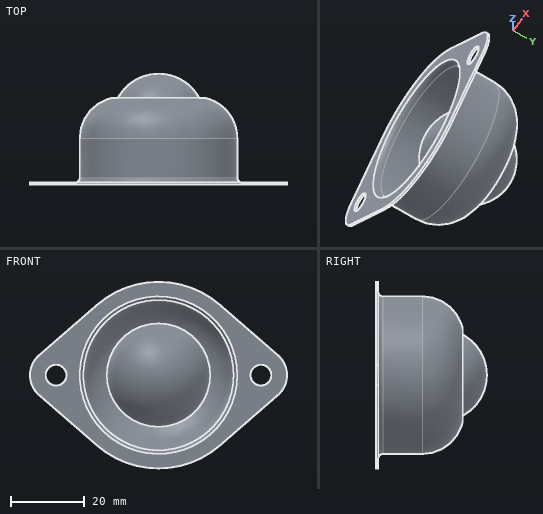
import cadquery as cq
import math


LENGTH = 69.85
FLANGE_WIDTH = 50.7
HEIGHT = 30.2

FLANGE_THICKNESS = 0.6
HOLE_OFFSET = 27.8
HOLE_DIAMETER = 5.6

WALL_RADIUS = 21.45
WALL_THICKNESS = 1.05
WALL_TOP = 12.6
DOME_RADIUS = 11.3
RIM_HEIGHT = 23.6
BEND_RADIUS = 1.25

BALL_RADIUS = 12.6
SOCKET_RADIUS = 14.05

LOBE_RADIUS = LENGTH / 2 - HOLE_OFFSET
FLANGE_RADIUS = FLANGE_WIDTH / 2
BORE_RADIUS = WALL_RADIUS - WALL_THICKNESS
BALL_CENTER = HEIGHT - BALL_RADIUS
DOME_CENTER_RADIUS = WALL_RADIUS - DOME_RADIUS
BEND_CENTER_RADIUS = WALL_RADIUS + BEND_RADIUS
BEND_CENTER_HEIGHT = FLANGE_THICKNESS + BEND_RADIUS
DIAGONAL = math.sqrt(0.5)


def make_sphere(radius):
    """Sphere around the ball's center."""
    return cq.Workplane("XZ", origin=(0, BALL_CENTER, 0)).sphere(radius)


def make_flange():
    """Plate outlined by a central circle, two end lobes and their common tangents."""
    tangent_cos = (FLANGE_RADIUS - LOBE_RADIUS) / HOLE_OFFSET
    tangent_sin = math.sqrt(1 - tangent_cos**2)
    middle_x = FLANGE_RADIUS * tangent_cos
    middle_z = FLANGE_RADIUS * tangent_sin
    lobe_x = HOLE_OFFSET + LOBE_RADIUS * tangent_cos
    lobe_z = LOBE_RADIUS * tangent_sin
    return (
        cq.Workplane("XZ")
        .moveTo(-middle_x, middle_z)
        .threePointArc((0, FLANGE_RADIUS), (middle_x, middle_z))
        .lineTo(lobe_x, lobe_z)
        .threePointArc((LENGTH / 2, 0), (lobe_x, -lobe_z))
        .lineTo(middle_x, -middle_z)
        .threePointArc((0, -FLANGE_RADIUS), (-middle_x, -middle_z))
        .lineTo(-lobe_x, -lobe_z)
        .threePointArc((-LENGTH / 2, 0), (-lobe_x, lobe_z))
        .close()
        .pushPoints([(-HOLE_OFFSET, 0), (HOLE_OFFSET, 0)])
        .circle(HOLE_DIAMETER / 2)
        .extrude(-FLANGE_THICKNESS)
    )


def make_domed_body(wall_radius, dome_radius):
    """Solid cylinder rounded over to a dome, which a flat top closes."""
    dome_top = WALL_TOP + dome_radius
    return (
        cq.Workplane("XY")
        .lineTo(wall_radius, 0)
        .lineTo(wall_radius, WALL_TOP)
        .threePointArc(
            (DOME_CENTER_RADIUS + dome_radius * DIAGONAL, WALL_TOP + dome_radius * DIAGONAL),
            (DOME_CENTER_RADIUS, dome_top),
        )
        .lineTo(0, dome_top)
        .close()
        .revolve(360, (0, 0, 0), (0, 1, 0))
    )


def make_flare(bend_radius, depth):
    """Disc with a concave edge that is a quarter arc, or less, around the bend's center.

    The disc reaches from the bend's center height down by the given depth.
    """
    top_radius = BEND_CENTER_RADIUS - bend_radius
    base = BEND_CENTER_HEIGHT - depth
    base_radius = BEND_CENTER_RADIUS - math.sqrt(bend_radius**2 - depth**2)
    middle_angle = math.asin(depth / bend_radius) / 2
    middle = (
        BEND_CENTER_RADIUS - bend_radius * math.cos(middle_angle),
        BEND_CENTER_HEIGHT - bend_radius * math.sin(middle_angle),
    )
    return (
        cq.Workplane("XY")
        .moveTo(0, base)
        .lineTo(0, BEND_CENTER_HEIGHT)
        .lineTo(top_radius, BEND_CENTER_HEIGHT)
        .threePointArc(middle, (base_radius, base))
        .close()
        .revolve(360, (0, 0, 0), (0, 1, 0))
    )


def make_housing():
    """Flange and hollow dome in one piece, with the ball socket hanging inside."""
    outside = (
        make_flange()
        .union(make_domed_body(WALL_RADIUS, DOME_RADIUS))
        .union(make_flare(BEND_RADIUS, BEND_RADIUS))
    )
    cavity = (
        make_domed_body(BORE_RADIUS, DOME_RADIUS - WALL_THICKNESS)
        .union(make_flare(BEND_RADIUS + WALL_THICKNESS, BEND_CENTER_HEIGHT))
        .cut(make_sphere(SOCKET_RADIUS))
    )
    above_rim = cq.Workplane("XZ", origin=(0, RIM_HEIGHT, 0)).circle(WALL_RADIUS).extrude(-HEIGHT)
    return outside.cut(cavity).cut(above_rim).cut(make_sphere(BALL_RADIUS))


housing = make_housing()
ball = make_sphere(BALL_RADIUS)

result = cq.Compound.makeCompound([housing.solids().val(), ball.val()])